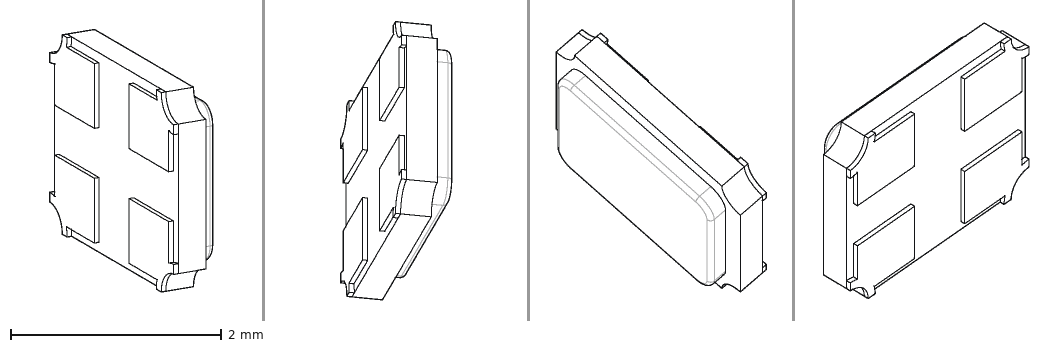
import cadquery as cq

length = 2.5
height = 2.0
base_depth = 0.3
notch_radius = 0.25

lid_inset = 0.2
lid_depth = 0.2
lid_corner_radius = 0.2
lid_edge_radius = 0.05

pad_thickness = 0.05
pad_inset = 0.1
pad_length = 0.8
pad_height = 0.65
collar_width = 0.1

base_front = pad_thickness
base_back = base_front + base_depth
collar_radius = notch_radius + collar_width
corner_signs = [(x_sign, z_sign) for x_sign in (-1, 1) for z_sign in (-1, 1)]


def plane_at(y):
    """Plane facing +Y, with local x along -X and local y along +Z."""
    return cq.Workplane(cq.Plane(origin=(0, y, 0), xDir=(-1, 0, 0), normal=(0, 1, 0)))


def corner_cylinder(x_sign, z_sign, radius, y, depth):
    """Cylinder along Y, centred on one corner of the base outline."""
    return (
        plane_at(y)
        .center(-x_sign * length / 2, z_sign * height / 2)
        .circle(radius)
        .extrude(depth)
    )


def make_housing():
    """Notched base and rounded lid as one solid."""
    base = plane_at(base_front).rect(length, height).extrude(base_depth)
    for x_sign, z_sign in corner_signs:
        base = base.cut(corner_cylinder(x_sign, z_sign, notch_radius, base_front, base_depth))
    lid = (
        plane_at(base_back)
        .rect(length - 2 * lid_inset, height - 2 * lid_inset)
        .extrude(lid_depth)
        .edges("|Y")
        .fillet(lid_corner_radius)
        .faces(">Y")
        .edges()
        .fillet(lid_edge_radius)
    )
    return base.union(lid)


def make_pad(x_sign, z_sign):
    """Rectangular pad joined to a collar that follows the corner notch."""
    outline = plane_at(0).rect(length, height).extrude(pad_thickness)
    collar = corner_cylinder(x_sign, z_sign, collar_radius, 0, pad_thickness).intersect(outline)
    notch = corner_cylinder(x_sign, z_sign, notch_radius, 0, pad_thickness)
    centre_x = x_sign * (length / 2 - pad_inset - pad_length / 2)
    centre_z = z_sign * (height / 2 - pad_inset - pad_height / 2)
    pad = (
        plane_at(0)
        .center(-centre_x, centre_z)
        .rect(pad_length, pad_height)
        .extrude(pad_thickness)
    )
    return pad.union(collar).cut(notch)


housing = make_housing()
pads = [make_pad(x_sign, z_sign) for x_sign, z_sign in corner_signs]

result = cq.Compound.makeCompound([housing.val(), *[pad.val() for pad in pads]])